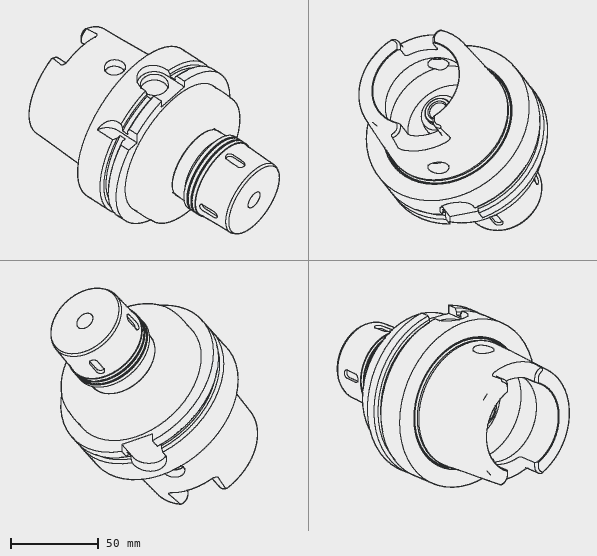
import cadquery as cq
import math


SHANK_LENGTH = 50.0
SHANK_END = -SHANK_LENGTH
GAUGE_DISTANCE = 10.0
GAUGE_RADIUS = 37.5
TAPER_SLOPE = 1 / 9.98 / 2
SHANK_END_ROUND = 2.0

RELIEF_START = -2.5
RELIEF_FLOOR_START = -1.7
RELIEF_FLOOR_END = -0.9
RELIEF_FLOOR_RADIUS = 37.65
RELIEF_FACE_DEPTH = 0.5
RELIEF_FACE_INNER_RADIUS = 38.4
RELIEF_FACE_OUTER_RADIUS = 38.9
RELIEF_EDGE_RADIUS = 39.5

BORE_RADIUS = 53.0 / 2
BORE_MOUTH_RADIUS = 53.8 / 2
BORE_LENGTH = 20.0
CHAMBER_RADIUS = 63.0 / 2
CHAMBER_ANGLE = 60.0
CHAMBER_END = -10.0
BORE_FLOOR = 0.0
FLOOR_RADIUS = 48.8 / 2

TUBE_END = -15.6
TUBE_RADIUS = 16.0 / 2
TUBE_END_RADIUS = 15.3 / 2
TUBE_MOUTH_RADIUS = 12.0 / 2
COOLANT_RADIUS = 10.5 / 2
TUBE_NUT_END = -12.7
TUBE_NUT_CONE_END = -8.0
TUBE_NUT_RADIUS = 24.0 / 2
TUBE_NUT_END_RADIUS = 22.5 / 2

DRIVE_WIDTH = 20.0
DRIVE_DEPTH_TOP = 10.0
DRIVE_DEPTH_BOTTOM = 15.0
DRIVE_FLARE_HEIGHT = 26.9
DRIVE_FLARE_RADIUS = 5.5
DRIVE_MOUTH_CHAMFER = 1.5
DRIVE_FLOOR_ROUND = 2.0

ACCESS_DIAMETER = 12.0
ACCESS_X = -14.6

FLANGE_RADIUS = 50.0
FLANGE_LENGTH = 29.0
GROOVE_CENTER = 20.0
GROOVE_TOP_WIDTH = 6.2
GROOVE_FLOOR_WIDTH = 3.8
GROOVE_FLOOR_RADIUS = 46.1
GROOVE_WALL_DEPTH = 2.0

FLANGE_SLOT_WIDTH = 20.0
FLANGE_SLOT_CENTER = 15.0
FLANGE_SLOT_FLOOR = 44.0
CORNER_SLOT_FLOOR = 31.5
CHIP_HOLE_DIAMETER = 16.0
CHIP_HOLE_DEPTH = 5.0

BODY_RADIUS = 42.0
BODY_CONE_START = 39.1
BODY_END = 44.0
BODY_END_RADIUS = 41.6
BODY_END_ROUND = 0.4
NECK_RADIUS = 43.6 / 2
NECK_ROUND = 0.6
COLLAR_START = 47.0
COLLAR_CONE_LENGTH = 0.35
COLLAR_RADIUS = 44.0 / 2
COLLAR_END = 54.7
COLLAR_ROUND = 0.8
NUT_NECK_RADIUS = 39.0 / 2

NUT_START = 58.0
NUT_END = 90.0
NUT_RADIUS = 48.8 / 2
NUT_BAND_END = 66.4
NUT_TAPER_RADIUS = 23.9
NUT_FRONT_RADIUS = 23.1
NUT_FRONT_CHAMFER_LENGTH = 1.6
NUT_FRONT_CHAMFER_DEPTH = 0.8
NUT_GROOVES = (60.6, 63.6)
NUT_GROOVE_WIDTH = 0.6
NUT_GROOVE_DEPTH = 0.6
WRENCH_SLOT_COUNT = 4
WRENCH_SLOT_LENGTH = 12.8
WRENCH_SLOT_WIDTH = 5.0
WRENCH_SLOT_CENTER = 75.8
WRENCH_SLOT_FLOOR = 21.5


def taper_radius(x):
    return GAUGE_RADIUS + TAPER_SLOPE * (x + GAUGE_DISTANCE)


def revolve_about_axis(profile):
    return profile.close().revolve(360, (0, 0, 0), (1, 0, 0))


def make_outside():
    """Solid of revolution of everything outside, without bore or slots."""
    groove_top = GROOVE_TOP_WIDTH / 2
    groove_floor = GROOVE_FLOOR_WIDTH / 2
    groove_wall = FLANGE_RADIUS - GROOVE_WALL_DEPTH
    arc_middle = SHANK_END_ROUND * (1 - math.sqrt(0.5))
    end_radius = taper_radius(SHANK_END)
    nut_chamfer_start = NUT_END - NUT_FRONT_CHAMFER_LENGTH
    profile = (
        cq.Workplane("XY")
        .moveTo(SHANK_END, 0)
        .lineTo(SHANK_END, end_radius - SHANK_END_ROUND)
        .threePointArc(
            (SHANK_END + arc_middle, end_radius - arc_middle),
            (SHANK_END + SHANK_END_ROUND, taper_radius(SHANK_END + SHANK_END_ROUND)),
        )
        .lineTo(RELIEF_START, taper_radius(RELIEF_START))
        .lineTo(RELIEF_FLOOR_START, RELIEF_FLOOR_RADIUS)
        .lineTo(RELIEF_FLOOR_END, RELIEF_FLOOR_RADIUS)
        .lineTo(RELIEF_FACE_DEPTH, RELIEF_FACE_INNER_RADIUS)
        .lineTo(RELIEF_FACE_DEPTH, RELIEF_FACE_OUTER_RADIUS)
        .lineTo(0, RELIEF_EDGE_RADIUS)
        .lineTo(0, FLANGE_RADIUS)
        .lineTo(GROOVE_CENTER - groove_top, FLANGE_RADIUS)
        .lineTo(GROOVE_CENTER - groove_floor, groove_wall)
        .lineTo(GROOVE_CENTER - groove_floor, GROOVE_FLOOR_RADIUS)
        .lineTo(GROOVE_CENTER + groove_floor, GROOVE_FLOOR_RADIUS)
        .lineTo(GROOVE_CENTER + groove_floor, groove_wall)
        .lineTo(GROOVE_CENTER + groove_top, FLANGE_RADIUS)
        .lineTo(FLANGE_LENGTH, FLANGE_RADIUS)
        .lineTo(FLANGE_LENGTH, BODY_RADIUS)
        .lineTo(BODY_CONE_START, BODY_RADIUS)
        .lineTo(BODY_END - BODY_END_ROUND, BODY_END_RADIUS)
        .radiusArc((BODY_END, BODY_END_RADIUS - BODY_END_ROUND), BODY_END_ROUND)
        .lineTo(BODY_END, NECK_RADIUS + NECK_ROUND)
        .radiusArc((BODY_END + NECK_ROUND, NECK_RADIUS), -NECK_ROUND)
        .lineTo(COLLAR_START, NECK_RADIUS)
        .lineTo(COLLAR_START + COLLAR_CONE_LENGTH, COLLAR_RADIUS)
        .lineTo(COLLAR_END - COLLAR_ROUND, COLLAR_RADIUS)
        .radiusArc((COLLAR_END, COLLAR_RADIUS - COLLAR_ROUND), COLLAR_ROUND)
        .lineTo(COLLAR_END, NUT_NECK_RADIUS)
        .lineTo(NUT_START, NUT_NECK_RADIUS)
        .lineTo(NUT_START, NUT_RADIUS)
        .lineTo(NUT_BAND_END, NUT_RADIUS)
        .lineTo(NUT_BAND_END, NUT_TAPER_RADIUS)
        .lineTo(nut_chamfer_start, NUT_FRONT_RADIUS)
        .lineTo(NUT_END, NUT_FRONT_RADIUS - NUT_FRONT_CHAMFER_DEPTH)
        .lineTo(NUT_END, 0)
    )
    return revolve_about_axis(profile)


def make_bore():
    """Clamping bore of the shank, leaving the coolant tube standing on its floor."""
    mouth_chamfer = BORE_MOUTH_RADIUS - BORE_RADIUS
    shoulder_start = SHANK_END + BORE_LENGTH
    shoulder_length = (CHAMBER_RADIUS - BORE_RADIUS) / math.tan(math.radians(CHAMBER_ANGLE))
    tube_chamfer = TUBE_RADIUS - TUBE_END_RADIUS
    tube_mouth_depth = TUBE_MOUTH_RADIUS - COOLANT_RADIUS
    profile = (
        cq.Workplane("XY")
        .moveTo(SHANK_END, 0)
        .lineTo(SHANK_END, BORE_MOUTH_RADIUS)
        .lineTo(SHANK_END + mouth_chamfer, BORE_RADIUS)
        .lineTo(shoulder_start, BORE_RADIUS)
        .lineTo(shoulder_start + shoulder_length, CHAMBER_RADIUS)
        .lineTo(CHAMBER_END, CHAMBER_RADIUS)
        .lineTo(BORE_FLOOR, FLOOR_RADIUS)
        .lineTo(BORE_FLOOR, TUBE_NUT_RADIUS)
        .lineTo(TUBE_NUT_CONE_END, TUBE_NUT_RADIUS)
        .lineTo(TUBE_NUT_END, TUBE_NUT_END_RADIUS)
        .lineTo(TUBE_NUT_END, TUBE_RADIUS)
        .lineTo(TUBE_END + tube_chamfer, TUBE_RADIUS)
        .lineTo(TUBE_END, TUBE_END_RADIUS)
        .lineTo(TUBE_END, TUBE_MOUTH_RADIUS)
        .lineTo(TUBE_END + tube_mouth_depth, COOLANT_RADIUS)
        .lineTo(NUT_END, COOLANT_RADIUS)
        .lineTo(NUT_END, 0)
    )
    return revolve_about_axis(profile)


def slot_edges_near(x):
    """Selector for the edges of a driving slot that lie across the axis at x."""
    margin = 1.0
    return cq.selectors.BoxSelector(
        (x - margin, -FLANGE_RADIUS, margin), (x + margin, FLANGE_RADIUS, FLANGE_RADIUS - margin)
    )


def make_drive_slot(depth):
    """Driving slot at +Z: flared walls, a chamfered mouth and a rounded floor."""
    half_width = DRIVE_WIDTH / 2
    flare_diagonal = DRIVE_FLARE_RADIUS * math.sqrt(0.5)
    flare_y = half_width + DRIVE_FLARE_RADIUS
    flare_top = DRIVE_FLARE_HEIGHT + DRIVE_FLARE_RADIUS
    slot_top = FLANGE_RADIUS
    side_y = FLANGE_RADIUS / 2
    clearance = 5.0
    slot = (
        cq.Workplane("YZ", origin=(SHANK_END - clearance, 0, 0))
        .moveTo(half_width, 0)
        .lineTo(half_width, DRIVE_FLARE_HEIGHT)
        .threePointArc(
            (flare_y - flare_diagonal, DRIVE_FLARE_HEIGHT + flare_diagonal),
            (flare_y, flare_top),
        )
        .lineTo(side_y, flare_top)
        .lineTo(side_y, slot_top)
        .lineTo(-side_y, slot_top)
        .lineTo(-side_y, flare_top)
        .lineTo(-flare_y, flare_top)
        .threePointArc(
            (-flare_y + flare_diagonal, DRIVE_FLARE_HEIGHT + flare_diagonal),
            (-half_width, DRIVE_FLARE_HEIGHT),
        )
        .lineTo(-half_width, 0)
        .close()
        .extrude(depth + clearance)
    )
    space_outside = (
        cq.Workplane("YZ", origin=(SHANK_END - clearance, 0, 0))
        .rect(2 * slot_top, 4 * slot_top)
        .extrude(clearance)
    )
    cutter = slot.union(space_outside)
    cutter = cutter.edges(slot_edges_near(SHANK_END)).chamfer(DRIVE_MOUTH_CHAMFER)
    cutter = cutter.edges(slot_edges_near(SHANK_END + depth)).fillet(DRIVE_FLOOR_ROUND)
    upper_half = cq.Workplane("XY").box(
        SHANK_LENGTH, 2 * FLANGE_RADIUS, FLANGE_RADIUS, centered=(False, True, False)
    )
    return cutter.intersect(upper_half.translate((SHANK_END, 0, 0)))


def make_access_hole():
    """Radial access hole at +Z, from inside the bore to beyond the taper."""
    hole_length = 40.0
    return (
        cq.Workplane("XY")
        .circle(ACCESS_DIAMETER / 2)
        .extrude(hole_length)
        .translate((ACCESS_X, 0, taper_radius(ACCESS_X) - hole_length / 2))
    )


def make_flange_slot(center_y, floor_z):
    """Slot in the rim of the flange, round at its end and open towards the nut."""
    slot_length = FLANGE_LENGTH - FLANGE_SLOT_CENTER
    plane = cq.Workplane("XY", origin=(FLANGE_SLOT_CENTER, center_y, floor_z))
    round_end = plane.circle(FLANGE_SLOT_WIDTH / 2).extrude(FLANGE_RADIUS)
    straight = plane.center(slot_length / 2, 0).rect(slot_length, FLANGE_SLOT_WIDTH)
    return straight.extrude(FLANGE_RADIUS).union(round_end)


def make_ring(x, width, outer_radius, depth):
    """Ring that cuts a groove of the given depth, centred on x."""
    clearance = 1.0
    ring = (
        cq.Workplane("YZ", origin=(x - width / 2, 0, 0))
        .circle(outer_radius + clearance)
        .circle(outer_radius - depth)
    )
    return ring.extrude(width)


def half_turn(shape):
    return shape.rotate((0, 0, 0), (1, 0, 0), 180)


result = make_outside().cut(make_bore())
result = result.cut(make_drive_slot(DRIVE_DEPTH_TOP))
result = result.cut(half_turn(make_drive_slot(DRIVE_DEPTH_BOTTOM)))
access_hole = make_access_hole()
result = result.cut(access_hole).cut(half_turn(access_hole))

rim_slot = make_flange_slot(0, FLANGE_SLOT_FLOOR)
result = result.cut(rim_slot).cut(half_turn(rim_slot))
corner_slot_y = -CORNER_SLOT_FLOOR - FLANGE_SLOT_WIDTH / 2
result = result.cut(make_flange_slot(corner_slot_y, CORNER_SLOT_FLOOR))
chip_hole = (
    cq.Workplane("XY", origin=(FLANGE_SLOT_CENTER, 0, FLANGE_SLOT_FLOOR - CHIP_HOLE_DEPTH))
    .circle(CHIP_HOLE_DIAMETER / 2)
    .extrude(CHIP_HOLE_DEPTH)
)
result = result.cut(chip_hole)

for groove_x in NUT_GROOVES:
    result = result.cut(make_ring(groove_x, NUT_GROOVE_WIDTH, NUT_RADIUS, NUT_GROOVE_DEPTH))

wrench_slot = (
    cq.Workplane("XY", origin=(WRENCH_SLOT_CENTER, 0, WRENCH_SLOT_FLOOR))
    .slot2D(WRENCH_SLOT_LENGTH, WRENCH_SLOT_WIDTH)
    .extrude(NUT_RADIUS)
)
for index in range(WRENCH_SLOT_COUNT):
    turn = 360 / WRENCH_SLOT_COUNT * index
    result = result.cut(wrench_slot.rotate((0, 0, 0), (1, 0, 0), turn))